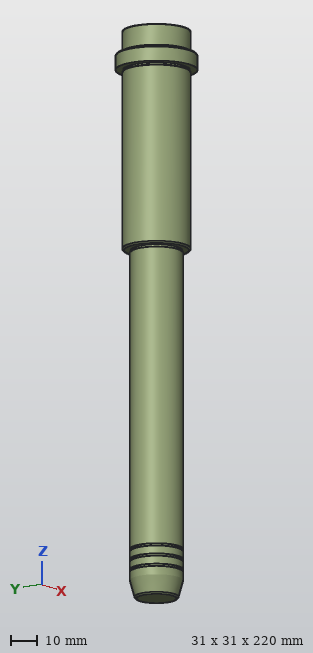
import cadquery as cq

total_length = 220.0
head_radius = 31.0 / 2
body_radius = 26.0 / 2
shank_radius = 20.2 / 2

head_top = total_length - 9.0
head_thickness = 6.0
head_bottom = head_top - head_thickness
body_bottom = 135.0

head_chamfer = 0.5
body_chamfer = 0.7
top_chamfer = 0.26
tip_chamfer = 0.7

relief_width = 0.9
relief_depth = 0.33
relief_taper = 0.33

groove_count = 3
groove_pitch = 4.0
groove_width = 0.9
groove_depth = 0.5
top_groove_height = 18.7

nose_height = 7.0
nose_end_radius = 8.4


def cylinder(radius, bottom, top):
    return cq.Workplane("XY").workplane(offset=bottom).circle(radius).extrude(top - bottom)


def ring_groove(radius, depth, bottom, width):
    """Square-sided ring that cuts a groove of the given depth into a cylinder."""
    outer = cylinder(radius + depth, bottom, bottom + width)
    return outer.cut(cylinder(radius - depth, bottom, bottom + width))


def head_relief():
    """Ring under the head whose lower side tapers out to the body surface."""
    floor_radius = body_radius - relief_depth
    floor_bottom = head_bottom - relief_width + relief_taper / 2
    profile = (
        cq.Workplane("XZ")
        .moveTo(floor_radius, head_bottom)
        .lineTo(floor_radius, floor_bottom)
        .lineTo(body_radius, floor_bottom - relief_taper)
        .lineTo(head_radius, floor_bottom - relief_taper)
        .lineTo(head_radius, head_bottom)
        .close()
    )
    return profile.revolve(360, (0, 0, 0), (0, 1, 0))


def make_nose():
    """Cone narrowing from the shank to the tip, with a chamfered end."""
    profile = (
        cq.Workplane("XZ")
        .lineTo(nose_end_radius - tip_chamfer, 0)
        .lineTo(nose_end_radius, tip_chamfer)
        .lineTo(shank_radius, nose_height)
        .lineTo(0, nose_height)
        .close()
    )
    return profile.revolve(360, (0, 0, 0), (0, 1, 0))


shank = cylinder(shank_radius, nose_height, body_bottom)
body = cylinder(body_radius, body_bottom, total_length)
body = body.faces("<Z").chamfer(body_chamfer)
body = body.faces(">Z").chamfer(top_chamfer)
head = cylinder(head_radius, head_bottom, head_top)
head = head.faces(">Z").chamfer(head_chamfer)
result = make_nose().union(shank).union(body).union(head)

result = result.cut(ring_groove(body_radius, relief_depth, head_top, relief_width))
result = result.cut(head_relief())
result = result.cut(ring_groove(shank_radius, relief_depth, body_bottom - relief_width, relief_width))

for index in range(groove_count):
    groove_bottom = top_groove_height - index * groove_pitch - groove_width / 2
    result = result.cut(ring_groove(shank_radius, groove_depth, groove_bottom, groove_width))